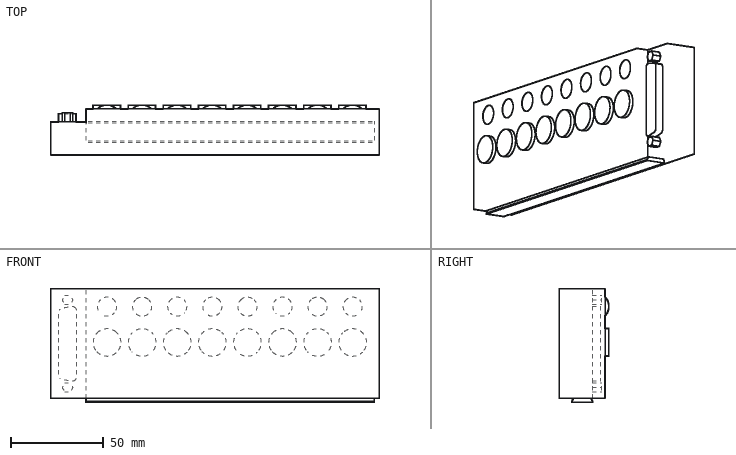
import cadquery as cq
import math

LENGTH = 178.0
HEIGHT = 59.5
DEPTH = 25.0
STEP_LENGTH = 19.0
STEP_DEPTH = 18.0
EDGE_ROUND = 0.5

BUTTON_COUNT = 8
FIRST_BUTTON_X = 30.5
LAST_BUTTON_X = 163.4
BUTTON_DIAMETER = 15.0
BUTTON_RISE = 2.1
BUTTON_Z = 30.5
LAMP_DIAMETER = 10.3
LAMP_Z = 49.8

CONNECTOR_X = 9.0
SHELL_WIDTH = 9.6
SHELL_LONG_SIDE = 41.3
SHELL_SLANT = math.radians(10)
SHELL_CORNER = 2.3
SHELL_RISE = 4.5
POST_ACROSS_FLATS = 5.0
POST_RISE = 5.0
POST_MARGIN = 6.0

RAIL_START = 19.0
RAIL_END_GAP = 2.7
RAIL_FRONT = 7.0
RAIL_WIDTH = 11.2
RAIL_RISE = 2.1
RAIL_UNDERCUT = 0.7
RAIL_LIP = 0.5


def back_plane(y):
    """Sketch plane facing +Y at depth y; its local axes are -X and +Z."""
    return cq.Workplane(cq.Plane(origin=(0, y, 0), xDir=(-1, 0, 0), normal=(0, 1, 0)))


def housing():
    outline = [
        (0, 0),
        (LENGTH, 0),
        (LENGTH, DEPTH),
        (STEP_LENGTH, DEPTH),
        (STEP_LENGTH, STEP_DEPTH),
        (0, STEP_DEPTH),
    ]
    block = cq.Workplane("XY").polyline(outline).close().extrude(HEIGHT)
    inner_corner = cq.selectors.NearestToPointSelector((STEP_LENGTH, STEP_DEPTH, HEIGHT / 2))
    outer_edges = cq.selectors.InverseSelector(inner_corner)
    return block.edges(outer_edges).fillet(EDGE_ROUND)


def button(x):
    return back_plane(DEPTH).center(-x, BUTTON_Z).circle(BUTTON_DIAMETER / 2).extrude(BUTTON_RISE)


def lamp(x):
    """Spherical cap that rises as far as the buttons."""
    base_radius = LAMP_DIAMETER / 2
    sphere_radius = (base_radius**2 + BUTTON_RISE**2) / (2 * BUTTON_RISE)
    half_angle = math.asin(base_radius / sphere_radius)
    arc_middle = (
        sphere_radius * math.sin(half_angle / 2),
        BUTTON_RISE - sphere_radius * (1 - math.cos(half_angle / 2)),
    )
    half_section = cq.Workplane("XY").lineTo(base_radius, 0)
    half_section = half_section.threePointArc(arc_middle, (0, BUTTON_RISE)).close()
    cap = half_section.revolve(360, (0, 0, 0), (0, 1, 0))
    return cap.translate((x, DEPTH, LAMP_Z))


def connector_shell():
    half_long = SHELL_LONG_SIDE / 2
    half_short = half_long - SHELL_WIDTH * math.tan(SHELL_SLANT)
    half_width = SHELL_WIDTH / 2
    outline = [
        (half_width, -half_short),
        (half_width, half_short),
        (-half_width, half_long),
        (-half_width, -half_long),
    ]
    shell = back_plane(STEP_DEPTH).center(-CONNECTOR_X, HEIGHT / 2).polyline(outline).close()
    return shell.extrude(SHELL_RISE).edges("|Y").fillet(SHELL_CORNER)


def connector_posts():
    across_corners = POST_ACROSS_FLATS / math.cos(math.pi / 6)
    spots = [(-CONNECTOR_X, POST_MARGIN), (-CONNECTOR_X, HEIGHT - POST_MARGIN)]
    return back_plane(STEP_DEPTH).pushPoints(spots).polygon(6, across_corners).extrude(POST_RISE)


def rail():
    back = RAIL_FRONT + RAIL_WIDTH
    profile = [
        (RAIL_FRONT + RAIL_UNDERCUT, 0),
        (back - RAIL_UNDERCUT, 0),
        (back, RAIL_LIP - RAIL_RISE),
        (back, -RAIL_RISE),
        (RAIL_FRONT, -RAIL_RISE),
        (RAIL_FRONT, RAIL_LIP - RAIL_RISE),
    ]
    rail_length = LENGTH - RAIL_END_GAP - RAIL_START
    return cq.Workplane("YZ", origin=(RAIL_START, 0, 0)).polyline(profile).close().extrude(rail_length)


result = housing().union(rail()).union(connector_shell()).union(connector_posts())
button_pitch = (LAST_BUTTON_X - FIRST_BUTTON_X) / (BUTTON_COUNT - 1)
for index in range(BUTTON_COUNT):
    button_x = FIRST_BUTTON_X + index * button_pitch
    result = result.union(button(button_x)).union(lamp(button_x))